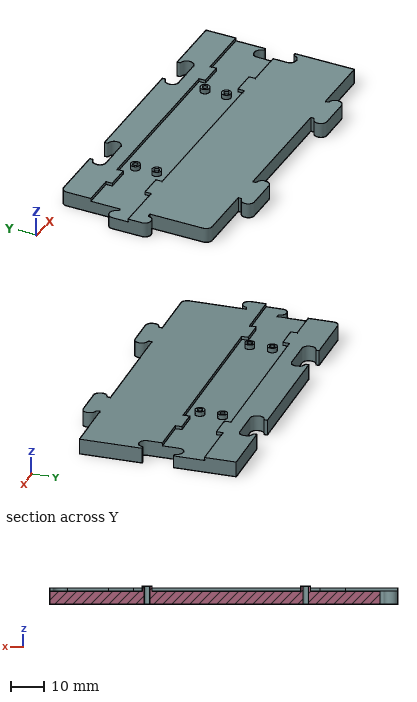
import cadquery as cq

base_length = 100.0
base_width = 50.0
base_thickness = 5.0
left_corner_radius = 2.0

connector_depth = 5.4
neck_width = 10.0
head_depth = 4.2
head_corner_radius = 2.0
neck_blend_radius = 0.5
socket_clearance = 0.05
side_connector_xs = (base_length / 4, base_length * 3 / 4)
end_connector_y = base_width / 2

channel_center_y = 32.3
channel_width = 15.2
floor_height = 4.0
key_length = 7.6
key_depth = 2.1
key_center_xs = (14.3, 78.4)

peg_diameter = 3.0
peg_bore = 1.6
peg_top_height = 5.5
peg_center_x = 46.5
peg_spacing_x = 48.0
peg_spacing_y = 7.2


def block(length, width, height, center_x, center_y, bottom=0.0):
    """Upright box centred on a point of the XY plane."""
    return (
        cq.Workplane("XY", origin=(center_x, center_y, bottom))
        .rect(length, width)
        .extrude(height)
    )


def connector(clearance=0.0):
    """Connector pointing toward -Y, with its root on the X axis."""
    depth = head_depth + 2 * clearance
    corner_radius = head_corner_radius + clearance
    head_width = neck_width + 2 * corner_radius
    neck_length = connector_depth - head_depth - clearance
    head_center_y = head_depth / 2 - connector_depth

    head = block(head_width, depth, base_thickness, 0, head_center_y)
    head = head.edges("|Z").fillet(corner_radius)
    neck = block(neck_width, neck_length, base_thickness, 0, -neck_length / 2)
    inner_corners = cq.selectors.BoxSelector(
        (-head_width, -neck_length - neck_blend_radius / 2, 0),
        (head_width, -neck_length + neck_blend_radius / 2, base_thickness),
    )
    return head.union(neck).edges("|Z").edges(inner_corners).fillet(neck_blend_radius)


def base_plate():
    plate = block(base_length, base_width, base_thickness, base_length / 2, base_width / 2)
    return plate.edges("|Z and <X").fillet(left_corner_radius)


def add_connectors(body):
    """Tabs on the -Y and -X sides, matching sockets on the +Y and +X sides."""
    tab = connector()
    socket = connector(socket_clearance)
    for x in side_connector_xs:
        body = body.union(tab.translate((x, 0, 0)))
        body = body.cut(socket.translate((x, base_width, 0)))
    end_tab = tab.rotate((0, 0, 0), (0, 0, 1), -90)
    end_socket = socket.rotate((0, 0, 0), (0, 0, 1), -90)
    body = body.union(end_tab.translate((0, end_connector_y, 0)))
    return body.cut(end_socket.translate((base_length, end_connector_y, 0)))


def channel():
    """Volume removed to form the keyed channel, open at both ends."""
    depth = base_thickness - floor_height
    length = base_length + 2 * connector_depth
    cutter = block(length, channel_width, depth, base_length / 2, channel_center_y, floor_height)
    for x in key_center_xs:
        for side in (-1, 1):
            y = channel_center_y + side * (channel_width - key_depth) / 2
            cutter = cutter.cut(block(key_length, key_depth, depth, x, y, floor_height))
    return cutter


def add_pegs(body):
    """Four pegs with bores running through the whole plate."""
    pegs = (
        cq.Workplane("XY", origin=(peg_center_x, channel_center_y, 0))
        .rarray(peg_spacing_x, peg_spacing_y, 2, 2)
    )
    body = body.union(pegs.circle(peg_diameter / 2).extrude(peg_top_height))
    return body.cut(pegs.circle(peg_bore / 2).extrude(peg_top_height))


result = add_pegs(add_connectors(base_plate()).cut(channel()))